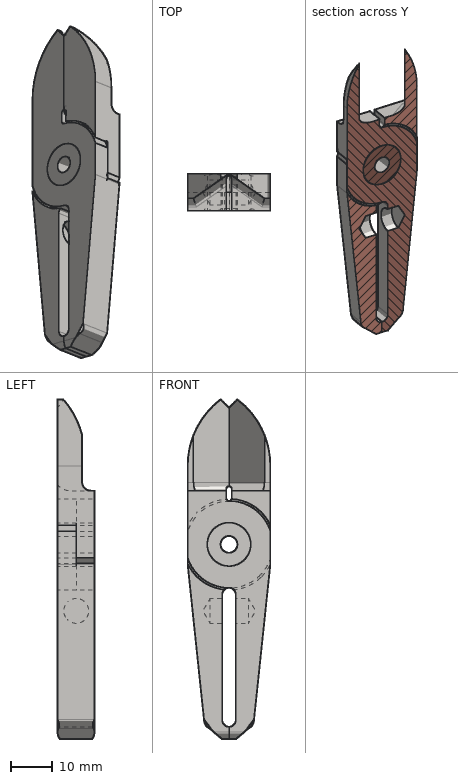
import cadquery as cq
import math


thickness = 9.0
half_thickness = thickness / 2
half_width = 10.0
tip_height = 35.0
handle_end = 47.0
oversize = 5.0

tip_half_gap = 2.0
jaw_radius = 20.0
jaw_arc_inset = half_width - tip_half_gap
jaw_arc_rise = math.sqrt(jaw_radius**2 - (jaw_radius - jaw_arc_inset) ** 2)
edge_angle = 35.0
jaw_thickness = 6.0
bevel_half_width = jaw_thickness / math.tan(math.radians(edge_angle))
shoulder_height = 13.0
shoulder_radius = 2.0

disc_radius = 10.5
disc_clearance = 0.5
pin_radius = 5.25
pin_bore_radius = 2.0

slit_width = 1.3
slit_top = 14.0
slot_width = 3.2
slot_bottom = 44.0

pocket_radius = 3.0
pocket_depth = 3.0
pocket_height = -16.0
drill_point_angle = 118.0

taper_start = 4.85
taper_angle = 6.0
corner_start = 42.2
corner_half_width = half_width - (corner_start - taper_start) * math.tan(math.radians(taper_angle))
corner_radius = 2.5
corner_end = 44.4
corner_centre_x = corner_half_width - corner_radius
corner_end_half_width = corner_centre_x + math.sqrt(corner_radius**2 - (corner_end - corner_start) ** 2)
nose_half_width = 1.7
nose_flare = (corner_end_half_width - nose_half_width) / (handle_end - corner_end)
face_end = 45.2
face_end_half_width = nose_half_width + (handle_end - face_end) * nose_flare
nose_rounding_radius = 3.0
corner_chamfer_tilt = 45.0


def through_prism(sketch_on_xz):
    """Extrude a closed XZ outline through the whole thickness, symmetric about the lap plane."""
    return sketch_on_xz.extrude(half_thickness, both=True)


def half_envelope():
    """Solid +X half of the outline, from jaw tip to handle nose."""
    outline = (
        cq.Workplane("XZ")
        .moveTo(0, tip_height - tip_half_gap)
        .lineTo(tip_half_gap, tip_height)
        .radiusArc((half_width, tip_height - jaw_arc_rise), jaw_radius)
        .lineTo(half_width, -taper_start)
        .lineTo(corner_half_width, -corner_start)
        .radiusArc((corner_end_half_width, -corner_end), corner_radius)
        .lineTo(nose_half_width, -handle_end)
        .lineTo(0, -handle_end)
        .close()
    )
    return through_prism(outline)


def bevel_cutter():
    """Space in front of the cutting faces, with its floor edges rounded for the shoulder fillet."""
    recess_y = half_thickness - jaw_thickness
    side = half_width + oversize
    front = -half_thickness - oversize
    return (
        cq.Workplane("XY", origin=(0, 0, shoulder_height))
        .moveTo(-side, front)
        .lineTo(-side, recess_y)
        .lineTo(-bevel_half_width, recess_y)
        .lineTo(0, half_thickness)
        .lineTo(bevel_half_width, recess_y)
        .lineTo(side, recess_y)
        .lineTo(side, front)
        .close()
        .extrude(tip_height)
        .faces("<Z")
        .edges("not(<X or >X or <Y)")
        .fillet(shoulder_radius)
    )


def vertical_slot(width, bottom, top):
    """Round-ended slot through the thickness, centred on x = 0."""
    return through_prism(
        cq.Workplane("XZ").center(0, (bottom + top) / 2).slot2D(top - bottom, width, 90)
    )


def nose_rounding_cutter():
    """Material removed where the front and back faces curve in toward the end of the nose."""
    drop = handle_end - face_end
    inset = nose_rounding_radius - math.sqrt(nose_rounding_radius**2 - drop**2)
    front = (
        cq.Workplane("YZ")
        .moveTo(-half_thickness, -face_end)
        .radiusArc((-half_thickness + inset, -handle_end), -nose_rounding_radius)
        .lineTo(-half_thickness, -handle_end)
        .close()
        .extrude(half_width, both=True)
    )
    return front.union(front.mirror("XZ"))


def corner_chamfer_cutter():
    """Tilted wedge that bevels the rounded +X handle corner on its front edge."""
    run = corner_half_width - face_end_half_width
    rise = face_end - corner_start
    inward = cq.Vector(-run, 0, -rise)
    outward = cq.Vector(rise, 0, -run)
    reach = corner_radius
    wedge_plane = cq.Plane(
        origin=(corner_half_width, -half_thickness, -corner_start),
        xDir=outward.toTuple(),
        normal=inward.toTuple(),
    )
    depth = reach * math.tan(math.radians(corner_chamfer_tilt))
    wedge = cq.Workplane(wedge_plane).polyline([(0, 0), (reach, 0), (reach, -depth)]).close()
    return wedge.extrude(math.hypot(run, rise))


def spring_pockets():
    """Body of revolution along X: a pocket with a drill point in each wall of the handle slot."""
    reach = slot_width / 2 + pocket_depth
    point = reach + pocket_radius / math.tan(math.radians(drill_point_angle / 2))
    return (
        cq.Workplane("XZ", origin=(0, 0, pocket_height))
        .polyline([(-point, 0), (-reach, pocket_radius), (reach, pocket_radius), (point, 0)])
        .close()
        .revolve(360, (0, 0), (1, 0))
    )


def tool_envelope():
    """Both levers together, before they are parted along the lap joint."""
    right_chamfer = corner_chamfer_cutter()
    chamfers = right_chamfer.union(right_chamfer.mirror("XZ"))
    half = half_envelope().cut(chamfers)
    bore = through_prism(cq.Workplane("XZ").circle(pin_radius))
    return (
        half.union(half.mirror("YZ"))
        .cut(bevel_cutter())
        .cut(nose_rounding_cutter())
        .cut(vertical_slot(slit_width, disc_radius, slit_top))
        .cut(vertical_slot(slot_width, -slot_bottom, -disc_radius))
        .cut(spring_pockets())
        .cut(bore)
    )


def lever_region(side):
    """Space of one lever: side is -1 for the left jaw with the front disc, +1 for the other."""
    disc_y = side * half_thickness / 2
    jaw = cq.Workplane("XY").box(half_width, thickness, tip_height, centered=(True, True, False))
    jaw = jaw.translate((side * half_width / 2, 0, 0))
    handle = cq.Workplane("XY").box(half_width, thickness, handle_end, centered=(True, True, False))
    handle = handle.translate((-side * half_width / 2, 0, -handle_end))

    def disc(radius, y_centre):
        layer = cq.Workplane("XZ").circle(radius).extrude(half_thickness / 2, both=True)
        return layer.translate((0, y_centre, 0))

    own_disc = disc(disc_radius, disc_y)
    other_disc = disc(disc_radius + disc_clearance, -disc_y)
    return jaw.union(handle).cut(other_disc).union(own_disc)


def pivot_pin():
    """Plain tube, flush with both faces."""
    return through_prism(cq.Workplane("XZ").circle(pin_radius).circle(pin_bore_radius))


envelope = tool_envelope()
left_jaw_lever = envelope.intersect(lever_region(-1)).solids()
right_jaw_lever = envelope.intersect(lever_region(1)).solids()
pin = pivot_pin().solids()

result = cq.Compound.makeCompound([left_jaw_lever.val(), right_jaw_lever.val(), pin.val()])